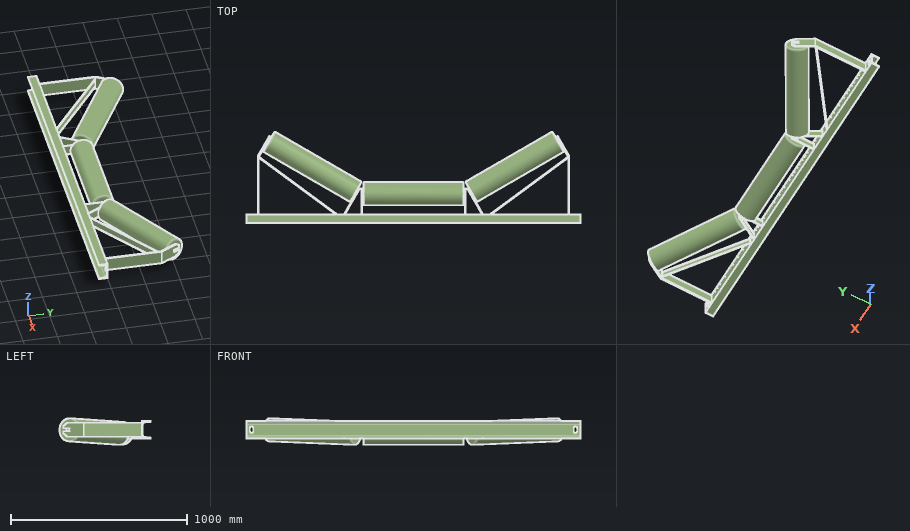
import cadquery as cq
import math


beam_length = 1900.0
beam_height = 100.0
flange_width = 50.0
web_thickness = 6.0
flange_thickness = 8.5
flange_slope = 0.08
root_radius = 8.5
toe_radius = 4.5
mount_slot_width = 18.0
mount_slot_length = 36.0
mount_slot_end_distance = 30.0

roller_diameter = 133.0
roller_length = 570.0
rim_fillet = 5.0
axle_diameter = 20.0
axle_flat = 14.0
trough_angle = 30.0
forward_tilt = 2.0
axle_gap = 6.0
mid_axis_y = 168.0
mid_axis_z = 30.0
wing_inner_z = 29.7
wing_outer_x = 821.5
wing_outer_y = 463.36

slot_width = 15.0
outer_plate_thickness = 8.0
outer_plate_width = 80.0
outer_post_x = 886.0
outer_tip_length = 30.0
tip_chamfer_along = 24.0
tip_chamfer_across = 18.0
inner_plate_thickness = 5.0
inner_plate_width = 60.0
inner_top_y = 199.0

brace_thickness = 5.0
brace_width = 50.0
brace_foot_x = 433.0

roller_radius = roller_diameter / 2
axle_radius = axle_diameter / 2
beam_mid_z = beam_height / 2
outer_post_inner_x = outer_post_x - outer_plate_thickness

along_x = math.cos(math.radians(trough_angle))
along_y = math.sin(math.radians(trough_angle))
across_x = -along_y
across_y = along_x
tilt_rise = math.tan(math.radians(forward_tilt))
wing_axis = cq.Vector(along_x, along_y, tilt_rise).normalized()
wing_run = roller_length * math.cos(math.radians(forward_tilt))
wing_inner_x = wing_outer_x - wing_run * along_x
wing_inner_y = wing_outer_y - wing_run * along_y

outer_near = wing_run + axle_gap
outer_far = outer_near + outer_plate_thickness
inner_near = -axle_gap
inner_far = inner_near - inner_plate_thickness


def wing_point(along, across):
    """XY point at a run along the wing axis and a distance across it."""
    return (
        wing_inner_x + along * along_x + across * across_x,
        wing_inner_y + along * along_y + across * across_y,
    )


def face_at_x(along, x):
    """XY point at a given X on the plate face that crosses the wing axis at a run along it."""
    start_x, start_y = wing_point(along, 0)
    return (x, start_y + (x - start_x) * across_y / across_x)


def face_at_y(along, y):
    """XY point at a given Y on the plate face that crosses the wing axis at a run along it."""
    start_x, start_y = wing_point(along, 0)
    return (start_x + (y - start_y) * across_x / across_y, y)


def flat_bar(outline, width, mid_z):
    """Bar of a constant width in Z, from its XY outline."""
    return cq.Workplane("XY", origin=(0, 0, mid_z - width / 2)).polyline(outline).close().extrude(width)


def make_beam():
    mid_flange_y = flange_width / 2
    root_y = flange_width - web_thickness
    toe_thickness = flange_thickness - mid_flange_y * flange_slope
    root_thickness = flange_thickness + (root_y - mid_flange_y) * flange_slope
    outline = [
        (0, 0),
        (flange_width, 0),
        (flange_width, beam_height),
        (0, beam_height),
        (0, beam_height - toe_thickness),
        (root_y, beam_height - root_thickness),
        (root_y, root_thickness),
        (0, toe_thickness),
    ]
    section = cq.Workplane("YZ", origin=(-beam_length / 2, 0, 0)).polyline(outline).close()
    beam = section.extrude(beam_length)
    for edge_y, thickness, radius in ((root_y, root_thickness, root_radius), (0, toe_thickness, toe_radius)):
        for edge_z in (thickness, beam_height - thickness):
            edge = cq.selectors.NearestToPointSelector((0, edge_y, edge_z))
            beam = beam.edges(edge).fillet(radius)
    slot_x = beam_length / 2 - mount_slot_end_distance
    mount_slots = (
        cq.Workplane("XZ", origin=(0, 0, beam_mid_z))
        .pushPoints([(-slot_x, 0), (slot_x, 0)])
        .slot2D(mount_slot_length, mount_slot_width, 90)
        .extrude(-flange_width)
    )
    return beam.cut(mount_slots)


def make_roller(start, direction, start_reach, end_reach):
    """Roller whose axle, flattened in Z, reaches past the two ends."""
    across = cq.Vector(-direction.y, direction.x, 0)
    end_plane = cq.Plane(origin=start, xDir=across, normal=direction)
    drum = cq.Workplane(end_plane).circle(roller_radius).extrude(roller_length).edges().fillet(rim_fillet)
    axle_length = start_reach + roller_length + end_reach
    axle_start = cq.Workplane(end_plane).workplane(offset=-start_reach)
    flats = axle_start.rect(axle_diameter, axle_flat).extrude(axle_length)
    axle = axle_start.circle(axle_radius).extrude(axle_length).intersect(flats)
    return drum.union(axle)


def make_mid_roller():
    start = cq.Vector(-roller_length / 2, mid_axis_y, mid_axis_z)
    reach = axle_gap + inner_plate_thickness
    return make_roller(start, cq.Vector(1, 0, 0), reach, reach)


def make_wing_roller():
    start = cq.Vector(wing_inner_x, wing_inner_y, wing_inner_z)
    return make_roller(start, wing_axis, axle_gap + inner_plate_thickness, axle_gap + outer_plate_thickness)


def wing_slot(along_start, along_end):
    """Cutter for the slot that holds a wing axle between two plate faces, its floor touching the axle."""
    outline = [
        wing_point(along_start, -axle_radius),
        wing_point(along_end, -axle_radius),
        wing_point(along_end, roller_radius),
        wing_point(along_start, roller_radius),
    ]
    axle_z = wing_inner_z + (along_start + along_end) / 2 * tilt_rise
    return flat_bar(outline, slot_width, axle_z)


def make_outer_bracket():
    outline = [
        (outer_post_inner_x, flange_width),
        (outer_post_x, flange_width),
        face_at_x(outer_far, outer_post_x),
        wing_point(outer_far, outer_tip_length),
        wing_point(outer_near, outer_tip_length),
        face_at_x(outer_near, outer_post_inner_x),
    ]
    bracket = flat_bar(outline, outer_plate_width, beam_mid_z)
    tip_plane = cq.Plane(
        origin=(*wing_point(outer_near, outer_tip_length), beam_mid_z),
        xDir=(across_x, across_y, 0),
        normal=(along_x, along_y, 0),
    )
    for side in (-1, 1):
        edge = side * outer_plate_width / 2
        corner = [(0, edge), (-tip_chamfer_along, edge), (0, edge - side * tip_chamfer_across)]
        bracket = bracket.cut(cq.Workplane(tip_plane).polyline(corner).close().extrude(outer_plate_thickness))
    return bracket.cut(wing_slot(outer_near, outer_far))


def make_inner_bracket():
    """Bent plate: a post beside the middle roller, a flat top and a leg square to the wing roller."""
    post_inner_x = roller_length / 2 + axle_gap
    post_outer_x = post_inner_x + inner_plate_thickness
    under_top_y = inner_top_y - inner_plate_thickness
    outline = [
        (post_inner_x, flange_width),
        (post_inner_x, inner_top_y),
        face_at_y(inner_near, inner_top_y),
        face_at_y(inner_near, flange_width),
        face_at_y(inner_far, flange_width),
        face_at_y(inner_far, under_top_y),
        (post_outer_x, under_top_y),
        (post_outer_x, flange_width),
    ]
    bracket = flat_bar(outline, inner_plate_width, mid_axis_z)
    slot_floor_y = mid_axis_y - axle_radius
    mid_slot_outline = [
        (post_inner_x, slot_floor_y),
        (post_outer_x, slot_floor_y),
        (post_outer_x, inner_top_y),
        (post_inner_x, inner_top_y),
    ]
    mid_slot = flat_bar(mid_slot_outline, slot_width, mid_axis_z)
    return bracket.cut(wing_slot(inner_far, inner_near)).cut(mid_slot)


def make_brace():
    """Strut from the bend of the outer bracket down to the beam."""
    top_x, top_y = face_at_x(outer_near, outer_post_inner_x)
    run = top_x - brace_foot_x
    rise = top_y - flange_width
    length = math.hypot(run, rise)
    outline = [
        (top_x, top_y),
        (top_x, top_y - brace_thickness * length / run),
        (brace_foot_x + brace_thickness * length / rise, flange_width),
        (brace_foot_x, flange_width),
    ]
    return flat_bar(outline, brace_width, beam_mid_z)


beam = make_beam()
mid_roller = make_mid_roller()
bodies = [beam.val(), mid_roller.val()]
for make_body in (make_wing_roller, make_outer_bracket, make_inner_bracket, make_brace):
    body = make_body()
    bodies.append(body.val())
    bodies.append(body.mirror("YZ").val())

result = cq.Compound.makeCompound(bodies)